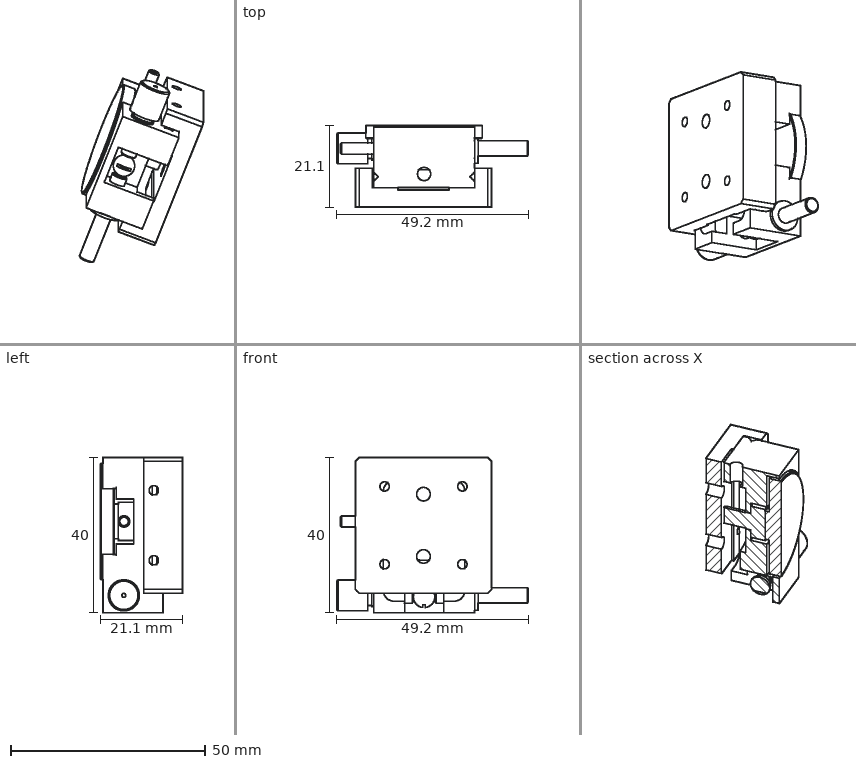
import cadquery as cq


plate_size = 35.0
plate_thickness = 10.0
plate_bottom = 5.0
plate_chamfer = 1.0
plate_offset = -0.15
plate_web = 5.0
channel_clearance = 0.3
relief_width = 13.0
relief_depth = 0.6
corner_hole_diameter = 2.4
corner_hole_spacing = 20.0
center_hole_diameter = 3.5
center_hole_spacing = 16.0
side_hole_diameter = 2.4
side_hole_spacing = 18.0
side_hole_y = 7.4

housing_width = 26.0
housing_back = 20.5
housing_height = plate_bottom + plate_size
groove_y = 7.8
groove_depth = 1.2
pocket_width = 20.9
pocket_bottom = 3.0
pocket_top = 34.0
pocket_floor = 9.55
pocket_corner = 2.7
bore_diameter = 20.0
bore_depth = 1.5
top_hole_diameter = 3.4
top_hole_y = 8.5
notch_width = 10.0
notch_height = 7.75
notch_floor = 18.6

brake_z = 23.5
disc_diameter = 30.0
disc_front = 17.6
disc_back = 21.1
disc_chamfer = 0.25
disc_recess_diameter = 31.0
disc_recess_floor = 17.1
neck_diameter = 9.0
hub_diameter = 9.9
hub_front = 12.55
hub_back = 16.5
hub_slot_height = 11.5
axle_diameter = 5.0
lever_diameter = 2.9
lever_y = hub_back - lever_diameter / 2
lever_left = -21.5
lever_right = -3.0
lever_chamfer = 0.35

screw_y = 15.1
screw_z = 4.5
shaft_diameter = 4.0
shaft_chamfer = 0.3
shaft_gap = 5.6
stop_right = 26.8
ball_diameter = 5.5
ball_z = 4.1
ball_slot_width = 0.6
ball_slot_depth = 0.75
knob_diameter = 8.0
knob_left = -22.45
knob_length = 8.0
knob_chamfer = 0.35
knob_neck_diameter = 5.3
knob_dimple_diameter = 1.0
knob_dimple_depth = 0.5
collar_diameter = 6.0
collar_thickness = 0.45
flange_diameter = 7.8
flange_thickness = 0.9

plate_center_z = plate_bottom + plate_size / 2
plate_left = plate_offset - plate_size / 2
housing_left = -housing_width / 2
housing_right = housing_width / 2
collar_left = housing_left - collar_thickness


def box(x0, x1, y0, y1, z0, z1):
    """Box between two opposite corners."""
    return cq.Workplane("XY").box(x1 - x0, y1 - y0, z1 - z0, centered=False).translate((x0, y0, z0))


def cylinder_x(diameter, x0, x1, y, z):
    """Cylinder along X from x0 to x1."""
    return cq.Workplane("YZ", origin=(x0, y, z)).circle(diameter / 2).extrude(x1 - x0)


def cylinder_y(diameter, y0, y1, x, z):
    """Cylinder along Y from y0 to y1."""
    return cq.Workplane("XZ", origin=(x, y0, z)).circle(diameter / 2).extrude(y0 - y1)


def screw_cylinder(diameter, x0, x1):
    """Cylinder on the axis of the adjustment screw."""
    return cylinder_x(diameter, x0, x1, screw_y, screw_z)


def make_face_plate():
    """Channel-shaped plate that straddles the front of the housing."""
    plate = box(plate_left, plate_left + plate_size, 0, plate_thickness, plate_bottom, housing_height)
    plate = plate.edges("|Y").chamfer(plate_chamfer)
    plate = plate.cut(
        box(
            housing_left - channel_clearance, housing_right,
            plate_web, plate_thickness,
            plate_bottom, housing_height,
        )
    )
    plate = plate.cut(
        box(
            plate_offset - relief_width / 2, plate_offset + relief_width / 2,
            plate_web - relief_depth, plate_web,
            plate_bottom, housing_height,
        )
    )
    for side in (-1, 1):
        center_z = plate_center_z + side * center_hole_spacing / 2
        plate = plate.cut(cylinder_y(center_hole_diameter, 0, plate_web, plate_offset, center_z))
        side_z = plate_center_z + side * side_hole_spacing / 2
        plate = plate.cut(cylinder_x(side_hole_diameter, plate_left, housing_left, side_hole_y, side_z))
        corner_z = plate_center_z + side * corner_hole_spacing / 2
        for corner_side in (-1, 1):
            corner_x = plate_offset + corner_side * corner_hole_spacing / 2
            plate = plate.cut(cylinder_y(corner_hole_diameter, 0, plate_web, corner_x, corner_z))
    return plate


def make_groove(side):
    """V groove in one side of the housing, open at the top and ending level with the plate's bottom edge."""
    face_x = side * housing_width / 2
    return (
        cq.Workplane("XY", origin=(0, 0, plate_bottom))
        .moveTo(face_x, groove_y - groove_depth)
        .lineTo(face_x - side * groove_depth, groove_y)
        .lineTo(face_x, groove_y + groove_depth)
        .close()
        .extrude(plate_size)
    )


def make_housing():
    """Block that carries the brake disc, the lever hub and the adjustment screw."""
    housing = box(housing_left, housing_right, plate_web, housing_back, 0, housing_height)
    for side in (-1, 1):
        housing = housing.cut(make_groove(side))

    pocket = box(-pocket_width / 2, pocket_width / 2, plate_web, pocket_floor, pocket_bottom, pocket_top)
    housing = housing.cut(pocket.edges("|Y").fillet(pocket_corner))
    housing = housing.cut(cylinder_y(bore_diameter, pocket_floor, pocket_floor + bore_depth, 0, brake_z))

    top_hole = cq.Workplane("XY", origin=(0, top_hole_y, pocket_top)).circle(top_hole_diameter / 2)
    housing = housing.cut(top_hole.extrude(housing_height - pocket_top))

    housing = housing.cut(cylinder_y(disc_recess_diameter, disc_recess_floor, housing_back, 0, brake_z))
    housing = housing.cut(
        box(
            housing_left, housing_right,
            hub_front, housing_back,
            brake_z - hub_slot_height / 2, brake_z + hub_slot_height / 2,
        )
    )
    housing = housing.cut(cylinder_y(axle_diameter, plate_web, hub_front, 0, brake_z))

    housing = housing.cut(
        box(-notch_width / 2, notch_width / 2, plate_web, notch_floor, 0, notch_height)
    )
    return housing.cut(screw_cylinder(shaft_diameter, housing_left, housing_right))


def make_brake_disc():
    """Disc with a short neck that meets the hub."""
    disc = cylinder_y(disc_diameter, disc_front, disc_back, 0, brake_z)
    disc = disc.faces("<Y or >Y").chamfer(disc_chamfer)
    return disc.union(cylinder_y(neck_diameter, hub_back, disc_front, 0, brake_z))


def make_lever():
    """Round clamping lever with a chamfered free end."""
    lever = cylinder_x(lever_diameter, lever_left, lever_right, lever_y, brake_z)
    return lever.faces("<X").chamfer(lever_chamfer)


def make_hub():
    """Hub on its axle, with a radial hole for the lever."""
    hub = cylinder_y(hub_diameter, hub_front, hub_back, 0, brake_z)
    hub = hub.union(cylinder_y(axle_diameter, plate_web, hub_front, 0, brake_z))
    return hub.cut(cylinder_x(lever_diameter, housing_left, lever_right, lever_y, brake_z))


def make_adjustment_screw():
    """Knob, narrower neck and shaft in one piece, with a dimple in the knob's end."""
    knob_right = knob_left + knob_length
    knob = screw_cylinder(knob_diameter, knob_left, knob_right)
    knob = knob.faces("<X").chamfer(knob_chamfer)
    knob = knob.cut(screw_cylinder(knob_dimple_diameter, knob_left, knob_left + knob_dimple_depth))
    neck = screw_cylinder(knob_neck_diameter, knob_right, collar_left)
    shaft = screw_cylinder(shaft_diameter, collar_left, -shaft_gap / 2)
    shaft = shaft.faces(">X").chamfer(shaft_chamfer)
    return knob.union(neck).union(shaft)


def make_collar():
    """Ring around the screw, between the knob's neck and the housing."""
    ring = screw_cylinder(collar_diameter, collar_left, housing_left)
    return ring.cut(screw_cylinder(shaft_diameter, collar_left, housing_left))


def make_ball():
    """Ball between the two shaft ends, slotted across its underside."""
    ball_radius = ball_diameter / 2
    ball_bottom = ball_z - ball_radius
    ball = cq.Workplane("XY").sphere(ball_radius).translate((0, screw_y, ball_z))
    slot = box(
        -ball_slot_width / 2, ball_slot_width / 2,
        screw_y - ball_radius, screw_y + ball_radius,
        ball_bottom, ball_bottom + ball_slot_depth,
    )
    return ball.cut(slot)


def make_stop_pin():
    """Pin opposite the screw, chamfered at both ends, with a flange against the housing."""
    pin = screw_cylinder(shaft_diameter, shaft_gap / 2, stop_right)
    pin = pin.faces("<X or >X").chamfer(shaft_chamfer)
    return pin.union(screw_cylinder(flange_diameter, housing_right, housing_right + flange_thickness))


face_plate = make_face_plate()
housing = make_housing()
brake_disc = make_brake_disc()
hub = make_hub()
lever = make_lever()
adjustment_screw = make_adjustment_screw()
collar = make_collar()
ball = make_ball()
stop_pin = make_stop_pin()

bodies = [face_plate, housing, brake_disc, hub, lever, adjustment_screw, collar, ball, stop_pin]
result = cq.Compound.makeCompound([body.val() for body in bodies])